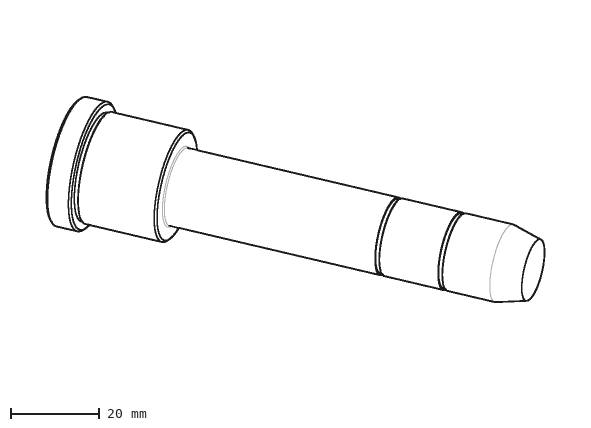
import cadquery as cq
import math

head_radius = 30.0 / 2
body_radius = 26.0 / 2
shank_radius = 18.0 / 2

total_length = 112.0
head_end = 6.0
body_end = 26.0

taper_length = 7.0
taper_angle = math.radians(15)
taper_start = total_length - taper_length
tip_radius = shank_radius - taper_length * math.tan(taper_angle)

rim_chamfer = 0.5
root_fillet = 0.3
root_arc_inset = root_fillet * (1 - math.sqrt(0.5))

neck_end = head_end + 1.0
neck_radius = body_radius - 0.3

groove_width = 1.0
groove_depth = 0.3
groove_starts = (77.3, 92.5)

profile = cq.Workplane("XY").moveTo(0, 0)

profile = (
    profile.lineTo(0, head_radius - rim_chamfer)
    .lineTo(rim_chamfer, head_radius)
    .lineTo(head_end - rim_chamfer, head_radius)
    .lineTo(head_end, head_radius - rim_chamfer)
)

profile = (
    profile.lineTo(head_end, neck_radius)
    .lineTo(neck_end, neck_radius)
    .lineTo(neck_end, body_radius)
    .lineTo(body_end - rim_chamfer, body_radius)
    .lineTo(body_end, body_radius - rim_chamfer)
)

profile = (
    profile.lineTo(body_end, shank_radius + root_fillet)
    .threePointArc(
        (body_end + root_arc_inset, shank_radius + root_arc_inset),
        (body_end + root_fillet, shank_radius),
    )
)

groove_floor = shank_radius - groove_depth
for groove_start in groove_starts:
    groove_end = groove_start + groove_width
    profile = (
        profile.lineTo(groove_start, shank_radius)
        .lineTo(groove_start, groove_floor)
        .lineTo(groove_end, groove_floor)
        .lineTo(groove_end, shank_radius)
    )

profile = (
    profile.lineTo(taper_start, shank_radius)
    .lineTo(total_length, tip_radius)
    .lineTo(total_length, 0)
    .close()
)

result = profile.revolve(360, (0, 0, 0), (1, 0, 0))